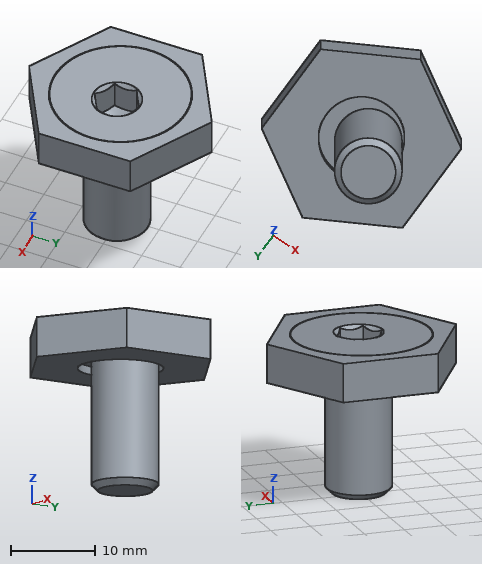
import cadquery as cq
import math

ring_across_corners = 23.8
ring_height = 4.8
bore_diameter = 16.99
lip_thickness = 1.0

head_clearance = 0.1
head_diameter = bore_diameter - 2 * head_clearance
eccentricity = 1.0
shank_diameter = 8.0
shank_length = 14.99
shank_chamfer = 0.75
head_height = ring_height - lip_thickness
lip_hole_diameter = shank_diameter + 2 * (eccentricity + head_clearance)

socket_across_flats = 5.0
socket_across_corners = socket_across_flats / math.cos(math.radians(30))
socket_mouth_diameter = 6.0
socket_mouth_angle = 45.0
socket_depth = 3.57
floor_angle = 30.0


def hexagon_prism(across_corners, height):
    """Upright hexagonal prism with two corners on the Y axis."""
    return (
        cq.Workplane("XY")
        .polygon(6, across_corners)
        .extrude(height)
        .rotate((0, 0, 0), (0, 0, 1), 90)
    )


def downward_cone(radius, slope):
    """Cone with its base at Z = 0 and its tip below."""
    depth = radius * math.tan(math.radians(slope))
    profile = cq.Workplane("XZ").polyline([(0, 0), (radius, 0), (0, -depth)]).close()
    return profile.revolve(360, (0, 0, 0), (0, 1, 0))


def make_hex_ring():
    bore = cq.Workplane("XY").workplane(offset=lip_thickness).circle(bore_diameter / 2).extrude(head_height)
    lip_hole = cq.Workplane("XY").circle(lip_hole_diameter / 2).extrude(lip_thickness)
    return hexagon_prism(ring_across_corners, ring_height).cut(bore).cut(lip_hole)


def make_socket():
    """Socket cavity, with its mouth at Z = 0."""
    corner_radius = socket_across_corners / 2
    floor_depth = corner_radius * math.tan(math.radians(floor_angle))
    drilled = cq.Workplane("XY").circle(corner_radius).extrude(-socket_depth)
    drilled = drilled.union(downward_cone(corner_radius, floor_angle).translate((0, 0, -socket_depth)))
    hexagon_depth = socket_depth + floor_depth
    hexagon = hexagon_prism(socket_across_corners, hexagon_depth).translate((0, 0, -hexagon_depth))
    mouth = downward_cone(socket_mouth_diameter / 2, socket_mouth_angle)
    return hexagon.intersect(drilled).union(mouth)


def make_eccentric_screw():
    head = cq.Workplane("XY").workplane(offset=lip_thickness).circle(head_diameter / 2).extrude(head_height)
    shank = (
        cq.Workplane("XY")
        .workplane(offset=lip_thickness)
        .center(eccentricity, 0)
        .circle(shank_diameter / 2)
        .extrude(-(shank_length + lip_thickness))
        .faces("<Z")
        .chamfer(shank_chamfer)
    )
    socket = make_socket().translate((eccentricity, 0, ring_height))
    return head.union(shank).cut(socket)


hex_ring = make_hex_ring()
eccentric_screw = make_eccentric_screw()

result = cq.Compound.makeCompound([hex_ring.val(), eccentric_screw.val()])